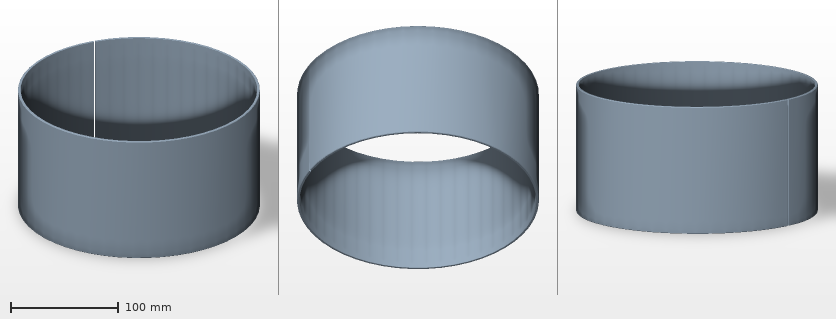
import cadquery as cq

OUTER_DIAMETER = 225.0
WALL_THICKNESS = 2.5
HEIGHT = 120.0
OUTER_CHAMFER = 0.5
INNER_CHAMFER = 0.2
SLIT_ANGLE = 1.0

OUTER_RADIUS = OUTER_DIAMETER / 2
INNER_RADIUS = OUTER_RADIUS - WALL_THICKNESS


def make_wall_section():
    """Cross-section of the wall on the -X side, chamfered at all four corners."""
    return (
        cq.Workplane("XZ")
        .moveTo(-OUTER_RADIUS + OUTER_CHAMFER, 0)
        .lineTo(-OUTER_RADIUS, OUTER_CHAMFER)
        .lineTo(-OUTER_RADIUS, HEIGHT - OUTER_CHAMFER)
        .lineTo(-OUTER_RADIUS + OUTER_CHAMFER, HEIGHT)
        .lineTo(-INNER_RADIUS - INNER_CHAMFER, HEIGHT)
        .lineTo(-INNER_RADIUS, HEIGHT - INNER_CHAMFER)
        .lineTo(-INNER_RADIUS, INNER_CHAMFER)
        .lineTo(-INNER_RADIUS - INNER_CHAMFER, 0)
        .close()
    )


def make_split_ring():
    """Sweep the wall counter-clockwise about the Z axis, leaving the slit open."""
    axis_start = (0, 0, 0)
    axis_end = (0, 1, 0)
    return make_wall_section().revolve(360 - SLIT_ANGLE, axis_start, axis_end)


result = make_split_ring()